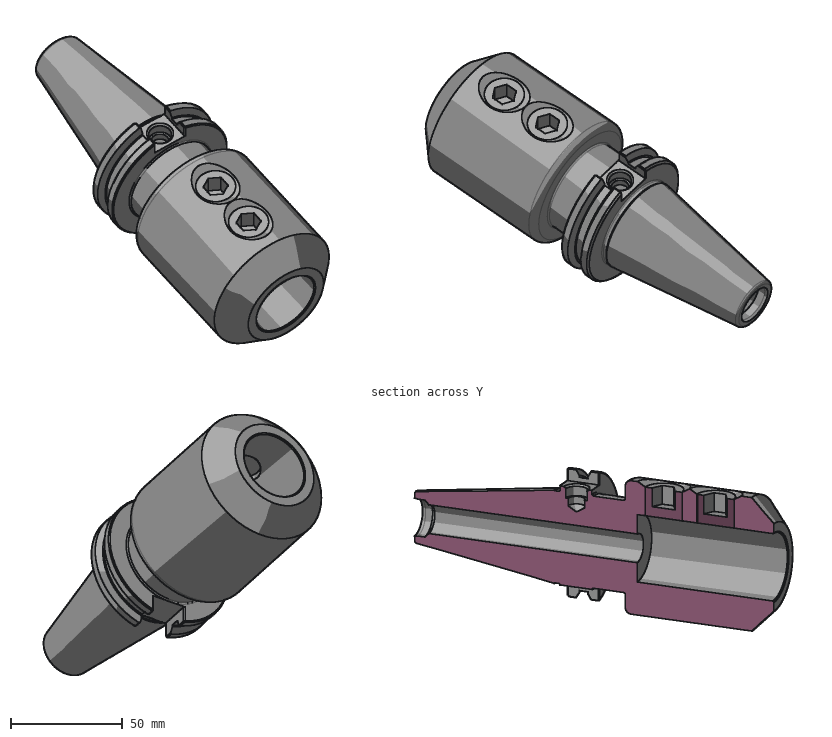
import cadquery as cq
import math

total_length = 176.2
body_radius = 31.7

taper_ratio = 7 / 24
taper_length = 68.4
gauge_radius = 22.2
tip_radius = gauge_radius - taper_length * taper_ratio / 2
tip_fillet = 1.2

relief_radius = 21.94
relief_step = 0.5
relief_fillet = 0.5

flange_start = 71.2
flange_width = 15.9
flange_end = flange_start + flange_width
flange_front_chamfer = 0.9
flange_rear_chamfer = 0.5
groove_center = 79.3
groove_floor_radius = 28.0
groove_width = 4.2
groove_flank_depth = 2.8
groove_flank_run = 1.8

neck_radius = relief_radius
neck_fillet = 0.7
body_start = 103.0
body_fillet = 3.2
nose_chamfer = 11.0

through_radius = 13.4 / 2
pilot_radius = 17.3 / 2
mouth_radius = 18.0 / 2
mouth_depth = 1.5
pilot_depth = 5.1
tool_bore_radius = 31.7 / 2
tool_bore_depth = 67.0
tool_mouth_radius = 32.8 / 2

slot_width = 16.0
slot_edge_chamfer = 0.5
upper_slot_height = 24.5
lower_slot_height = 22.5

chip_hole_radius = 8.0 / 2
chip_bore_radius = 10.2 / 2
chip_mouth_radius = 12.0 / 2
chip_bore_depth = 5.3
chip_hole_depth = 8.8
drill_tip_angle = 118

screw_count = 2
screw_pitch = 25.4
first_screw_x = 122.1
screw_radius = 18.0 / 2
screw_top = 29.6
screw_bottom = tool_bore_radius
screw_sink_angle = 120
hex_across_flats = 9.7
hex_depth = 8.8
screw_positions = [first_screw_x + i * screw_pitch for i in range(screw_count)]


def turned_blank():
    """Outer shape of the holder: taper, relief, flange, neck and body."""
    profile = (
        cq.Workplane("XY")
        .moveTo(0, 0)
        .lineTo(0, tip_radius)
        .lineTo(taper_length, gauge_radius)
        .lineTo(taper_length + relief_step, relief_radius)
        .lineTo(flange_start - relief_fillet, relief_radius)
        .radiusArc((flange_start, relief_radius + relief_fillet), -relief_fillet)
        .lineTo(flange_start, body_radius - flange_front_chamfer)
        .lineTo(flange_start + flange_front_chamfer, body_radius)
        .lineTo(flange_end - flange_rear_chamfer, body_radius)
        .lineTo(flange_end, body_radius - flange_rear_chamfer)
        .lineTo(flange_end, neck_radius + neck_fillet)
        .radiusArc((flange_end + neck_fillet, neck_radius), -neck_fillet)
        .lineTo(body_start - neck_fillet, neck_radius)
        .radiusArc((body_start, neck_radius + neck_fillet), -neck_fillet)
        .lineTo(body_start, body_radius - body_fillet)
        .radiusArc((body_start + body_fillet, body_radius), body_fillet)
        .lineTo(total_length - nose_chamfer, body_radius)
        .lineTo(total_length, body_radius - nose_chamfer)
        .lineTo(total_length, 0)
        .close()
    )
    blank = profile.revolve(360, (0, 0, 0), (1, 0, 0))
    return blank.faces("<X").edges().fillet(tip_fillet)


def flange_groove():
    """Ring that cuts the groove into the flange rim: sloping flanks, then straight walls."""
    half_floor = groove_width / 2
    half_mouth = half_floor + groove_flank_run
    flank_foot = body_radius - groove_flank_depth
    return (
        cq.Workplane("XY")
        .moveTo(groove_center - half_floor, groove_floor_radius)
        .lineTo(groove_center - half_floor, flank_foot)
        .lineTo(groove_center - half_mouth, body_radius)
        .lineTo(groove_center + half_mouth, body_radius)
        .lineTo(groove_center + half_floor, flank_foot)
        .lineTo(groove_center + half_floor, groove_floor_radius)
        .close()
        .revolve(360, (0, 0, 0), (1, 0, 0))
    )


def axial_bores():
    """Stepped hole along the axis: drawbar end, through hole and tool bore."""
    tool_bore_start = total_length - tool_bore_depth
    tool_chamfer = tool_mouth_radius - tool_bore_radius
    return (
        cq.Workplane("XY")
        .moveTo(0, 0)
        .lineTo(0, mouth_radius)
        .lineTo(mouth_depth, pilot_radius)
        .lineTo(pilot_depth, pilot_radius)
        .lineTo(pilot_depth + pilot_radius - through_radius, through_radius)
        .lineTo(tool_bore_start, through_radius)
        .lineTo(tool_bore_start, tool_bore_radius)
        .lineTo(total_length - tool_chamfer, tool_bore_radius)
        .lineTo(total_length, tool_mouth_radius)
        .lineTo(total_length, 0)
        .close()
        .revolve(360, (0, 0, 0), (1, 0, 0))
    )


def drive_slot(floor_height, side):
    """Block that cuts one drive slot; side is +1 for the top and -1 for the bottom."""
    depth = body_radius - floor_height
    return cq.Workplane("XY").box(flange_width, slot_width, depth).translate(
        (flange_start + flange_width / 2, 0, side * (floor_height + depth / 2))
    )


def chamfer_slot_edges(slotted):
    """Chamfer every edge of the slot side walls except where they meet the slot floors."""
    floor_edges = slotted.faces("|Z").edges("|X").vals()
    wall_edges = [
        edge
        for edge in slotted.faces("|Y").edges().vals()
        if not any(edge.isSame(floor_edge) for floor_edge in floor_edges)
    ]
    return slotted.newObject(wall_edges).chamfer(slot_edge_chamfer)


def chip_hole():
    """Stepped blind hole with a drill tip, going down from the upper slot floor."""
    tip_depth = chip_hole_radius / math.tan(math.radians(drill_tip_angle / 2))
    mouth_depth = chip_mouth_radius - chip_bore_radius
    return (
        cq.Workplane("XZ")
        .moveTo(0, 0)
        .lineTo(chip_mouth_radius, 0)
        .lineTo(chip_bore_radius, -mouth_depth)
        .lineTo(chip_bore_radius, -chip_bore_depth)
        .lineTo(chip_hole_radius, -chip_bore_depth)
        .lineTo(chip_hole_radius, -chip_hole_depth)
        .lineTo(0, -chip_hole_depth - tip_depth)
        .close()
        .revolve(360, (0, 0, 0), (0, 1, 0))
        .translate((groove_center, 0, upper_slot_height))
    )


def screw_hole(x):
    """Radial hole into the tool bore, with a countersink above the screw."""
    sink_rise = body_radius - screw_top
    sink_radius = screw_radius + sink_rise * math.tan(math.radians(screw_sink_angle / 2))
    return (
        cq.Workplane("XZ")
        .moveTo(0, 0)
        .lineTo(screw_radius, 0)
        .lineTo(screw_radius, screw_top)
        .lineTo(sink_radius, body_radius)
        .lineTo(0, body_radius)
        .close()
        .revolve(360, (0, 0, 0), (0, 1, 0))
        .translate((x, 0, 0))
    )


def clamping_screw(x):
    """Headless screw with a hexagon socket, ending at the top of the tool bore."""
    hex_across_corners = hex_across_flats / math.cos(math.radians(30))
    return (
        cq.Workplane("XY", origin=(x, 0, screw_bottom))
        .circle(screw_radius)
        .extrude(screw_top - screw_bottom)
        .faces(">Z")
        .workplane()
        .polygon(6, hex_across_corners)
        .cutBlind(-hex_depth)
    )


holder = chamfer_slot_edges(
    turned_blank().cut(drive_slot(upper_slot_height, 1)).cut(drive_slot(lower_slot_height, -1))
)
holder = holder.cut(flange_groove()).cut(axial_bores()).cut(chip_hole())
for position in screw_positions:
    holder = holder.cut(screw_hole(position))

screws = [clamping_screw(position) for position in screw_positions]

result = cq.Compound.makeCompound([holder.solids().val(), *[screw.val() for screw in screws]])